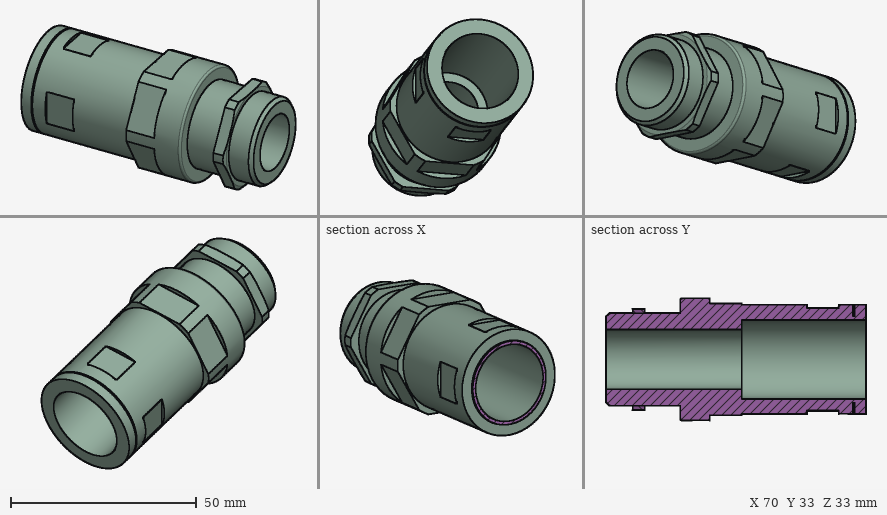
import cadquery as cq
import math

total_length = 70.0
left_end = -total_length / 2
groove_start = 3.1
groove_width = 0.4
window_start = 7.4
window_end = 15.9
hex_start = 33.4
hex_end = 42.0
collar_end = 50.05
nut_start = 59.5
nut_end = 62.85

sleeve_diameter = 29.5
groove_diameter = 23.4
collar_diameter = 33.0
collar_edge_radius = 0.6
hex_across_flats = 30.1
thread_diameter = 25.0
thread_tip_diameter = 23.2
thread_chamfer_length = 1.05
inlet_diameter = 21.2
outlet_diameter = 16.0
inlet_depth = hex_start

window_count = 4
window_width = 9.9
window_across_flats = 27.6
window_corner_radius = 0.4

nut_across_flats = 27.2
nut_corner_diameter = 30.0
nut_face_diameter = 27.7
nut_bevel_length = 0.35


def cylinder(start, end, diameter):
    """Cylinder around the X axis between two distances from the left end."""
    plane = cq.Workplane("YZ", origin=(left_end + start, 0, 0))
    return plane.circle(diameter / 2).extrude(end - start)


def hexagon(start, end, across_flats):
    """Hexagonal prism along X with corners on the Y axis and flats facing Z."""
    corner_diameter = across_flats / math.cos(math.pi / 6)
    plane = cq.Workplane("YZ", origin=(left_end + start, 0, 0))
    return plane.polygon(6, corner_diameter).extrude(end - start)


def make_window_cutter():
    """Block that cuts the upper flat, rounded at its two left corners."""
    floor_height = window_across_flats / 2
    depth = sleeve_diameter / 2 - floor_height
    length = window_end - window_start
    return (
        cq.Workplane("XY", origin=(left_end + window_start, 0, floor_height))
        .box(length, window_width, 2 * depth, centered=(False, True, False))
        .edges("|Z and <X")
        .fillet(window_corner_radius)
    )


def make_sleeve():
    """Plain sleeve with a ring groove and four recessed flats."""
    groove_end = groove_start + groove_width
    sleeve = (
        cylinder(0, groove_start, sleeve_diameter)
        .union(cylinder(groove_start, groove_end, groove_diameter))
        .union(cylinder(groove_end, hex_start, sleeve_diameter))
    )
    cutter = make_window_cutter()
    for index in range(window_count):
        angle = index * 360 / window_count
        sleeve = sleeve.cut(cutter.rotate((0, 0, 0), (1, 0, 0), angle))
    return sleeve


def make_wrench_collar():
    """Hexagon trimmed by the collar diameter, followed by the round collar."""
    hex_section = hexagon(hex_start, hex_end, hex_across_flats).intersect(
        cylinder(hex_start, hex_end, collar_diameter)
    )
    collar = cylinder(hex_end, collar_end, collar_diameter)
    collar = collar.faces(">X").edges().fillet(collar_edge_radius)
    return hex_section.union(collar)


def make_thread():
    """Smooth cylinder standing for the thread, with a chamfered tip."""
    tip_step = (thread_diameter - thread_tip_diameter) / 2
    thread = cylinder(collar_end, total_length, thread_diameter)
    tip_face = thread.faces(">X").val()
    chamfered = thread.val().chamfer(thread_chamfer_length, tip_step, tip_face.Edges())
    return cq.Workplane(chamfered)


def make_gland_body():
    """Sleeve, wrench collar and thread in one piece with a stepped bore."""
    return (
        make_sleeve()
        .union(make_wrench_collar())
        .union(make_thread())
        .cut(cylinder(0, inlet_depth, inlet_diameter))
        .cut(cylinder(inlet_depth, total_length, outlet_diameter))
    )


def make_locknut():
    """Hexagonal nut with trimmed corners, bevelled on its right face."""
    blank_profile = [
        (left_end + nut_start, 0),
        (left_end + nut_start, nut_corner_diameter / 2),
        (left_end + nut_end - nut_bevel_length, nut_corner_diameter / 2),
        (left_end + nut_end, nut_face_diameter / 2),
        (left_end + nut_end, 0),
    ]
    blank = (
        cq.Workplane("XY")
        .polyline(blank_profile)
        .close()
        .revolve(360, (0, 0, 0), (1, 0, 0))
    )
    nut = hexagon(nut_start, nut_end, nut_across_flats).intersect(blank)
    return nut.cut(cylinder(nut_start, nut_end, thread_diameter))


gland_body = make_gland_body().solids()
locknut = make_locknut().solids()
result = cq.Compound.makeCompound([gland_body.val(), locknut.val()])